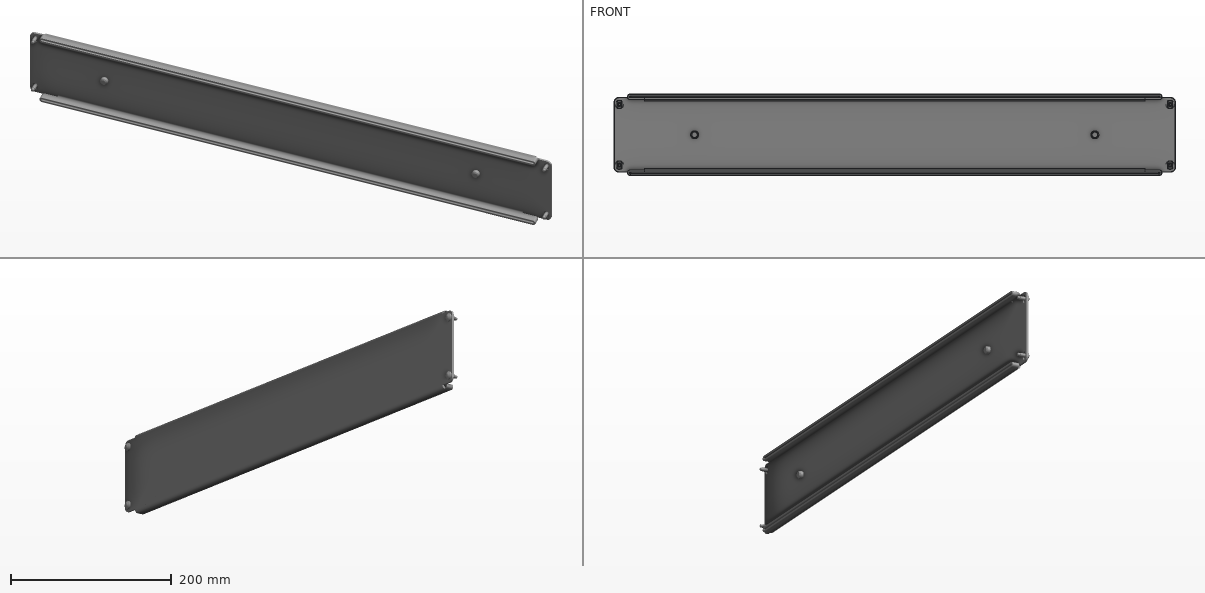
import cadquery as cq

LENGTH = 698.0
HEIGHT = 101.0
DEPTH = 17.5

PLATE_HEIGHT = 93.0
PLATE_THICKNESS = 2.5
PLATE_CORNER_RADIUS = 6.0

RAIL_LENGTH = 664.5
RAIL_HEIGHT = 6.85
RAIL_WALL = 2.45
BEND_LENGTH = 657.0
FOOT_LENGTH = 622.5

STUD_SPACING = 498.0
STUD_DIAMETER = 10.0
STUD_HEIGHT = 5.5
STUD_CHAMFER = 1.5

SCREW_SPACING_X = 685.0
SCREW_SPACING_Z = 75.5
HEAD_DIAMETER = 10.5
HEAD_TOP_DIAMETER = 4.0
HEAD_HEIGHT = 3.85
HEAD_RIM = 1.75
SHANK_DIAMETER = 5.0
SHANK_LENGTH = 8.5
TIP_DIAMETER = 4.05
TIP_LENGTH = 3.5
TIP_CHAMFER = 1.0
SLOT_HEIGHT = 10.5
SLOT_WIDTH = 6.0

BEND_RADIUS = (HEIGHT - PLATE_HEIGHT) / 2
BEND_GAP = BEND_RADIUS - PLATE_THICKNESS
RAIL_TOP = HEIGHT / 2
RAIL_MIDDLE = RAIL_TOP - RAIL_HEIGHT / 2
RAIL_BOTTOM = RAIL_TOP - RAIL_HEIGHT
RAIL_DEPTH = DEPTH - HEAD_HEIGHT - BEND_RADIUS

STUD_PLACES = [-STUD_SPACING / 2, STUD_SPACING / 2]
SCREW_PLACES = [
    (x, z)
    for x in (-SCREW_SPACING_X / 2, SCREW_SPACING_X / 2)
    for z in (-SCREW_SPACING_Z / 2, SCREW_SPACING_Z / 2)
]


def make_plate():
    """Flat plate with a vertical slot for each screw."""
    plate = (
        cq.Workplane("XZ")
        .rect(LENGTH, PLATE_HEIGHT)
        .extrude(PLATE_THICKNESS)
        .edges("|Y")
        .fillet(PLATE_CORNER_RADIUS)
    )
    slots = (
        cq.Workplane("XZ")
        .pushPoints(SCREW_PLACES)
        .slot2D(SLOT_HEIGHT, SLOT_WIDTH, 90)
        .extrude(PLATE_THICKNESS)
    )
    return plate.cut(slots)


def make_tube():
    """Long flat ring standing in front of the plate."""
    section = cq.Workplane("XZ", origin=(0, -BEND_RADIUS, RAIL_MIDDLE))
    outside = section.slot2D(RAIL_LENGTH, RAIL_HEIGHT).extrude(RAIL_DEPTH)
    inside = section.slot2D(RAIL_LENGTH - 2 * RAIL_WALL, RAIL_HEIGHT - 2 * RAIL_WALL).extrude(RAIL_DEPTH)
    return outside.cut(inside)


def make_bend():
    """Quarter-round strip from the top edge of the plate to the upper wall of the tube."""
    return (
        cq.Workplane("YZ", origin=(-BEND_LENGTH / 2, -BEND_RADIUS, PLATE_HEIGHT / 2))
        .moveTo(BEND_RADIUS, 0)
        .radiusArc((0, BEND_RADIUS), -BEND_RADIUS)
        .lineTo(0, BEND_GAP)
        .radiusArc((BEND_GAP, 0), BEND_GAP)
        .close()
        .extrude(BEND_LENGTH)
    )


def make_foot():
    """Strip from the lower wall of the tube to the plate, flared below by a round."""
    return (
        cq.Workplane("YZ", origin=(-FOOT_LENGTH / 2, -BEND_RADIUS, RAIL_BOTTOM))
        .moveTo(0, 0)
        .lineTo(0, RAIL_WALL)
        .lineTo(BEND_GAP, RAIL_WALL)
        .lineTo(BEND_GAP, -BEND_GAP)
        .radiusArc((0, 0), -BEND_GAP)
        .close()
        .extrude(FOOT_LENGTH)
    )


def make_top_rail():
    return make_tube().union(make_bend()).union(make_foot())


def make_stud(x):
    stud = cq.Workplane("XZ", origin=(x, -PLATE_THICKNESS, 0)).circle(STUD_DIAMETER / 2).extrude(STUD_HEIGHT)
    return stud.faces("<Y").chamfer(STUD_CHAMFER)


def make_screw(x, z):
    """Button head, shank through the plate and a thinner chamfered tip, turned about Y."""
    shank_end = -SHANK_LENGTH
    tip_end = shank_end - TIP_LENGTH
    profile = (
        cq.Workplane("XY")
        .moveTo(0, HEAD_HEIGHT)
        .lineTo(HEAD_TOP_DIAMETER / 2, HEAD_HEIGHT)
        .lineTo(HEAD_DIAMETER / 2, HEAD_RIM)
        .lineTo(HEAD_DIAMETER / 2, 0)
        .lineTo(SHANK_DIAMETER / 2, 0)
        .lineTo(SHANK_DIAMETER / 2, shank_end)
        .lineTo(TIP_DIAMETER / 2, shank_end)
        .lineTo(TIP_DIAMETER / 2, tip_end + TIP_CHAMFER)
        .lineTo(TIP_DIAMETER / 2 - TIP_CHAMFER, tip_end)
        .lineTo(0, tip_end)
        .close()
    )
    return profile.revolve(360, (0, 0, 0), (0, 1, 0)).translate((x, 0, z))


plate = make_plate()
top_rail = make_top_rail()
bottom_rail = top_rail.mirror("XY")
studs = [make_stud(x) for x in STUD_PLACES]
screws = [make_screw(x, z) for x, z in SCREW_PLACES]

result = cq.Compound.makeCompound(
    [
        plate.val(),
        top_rail.val(),
        bottom_rail.val(),
        *[stud.val() for stud in studs],
        *[screw.val() for screw in screws],
    ]
)